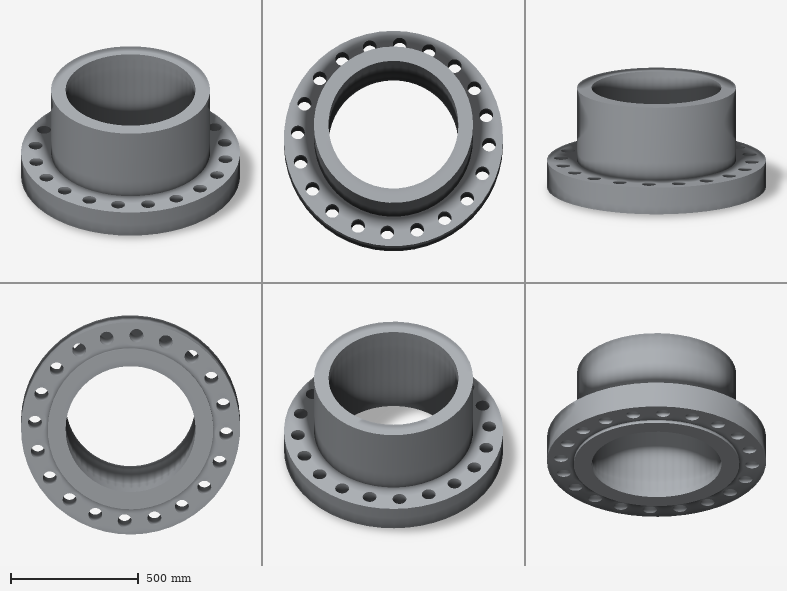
import cadquery as cq

flange_diameter = 857.25
flange_thickness = 107.95
raised_face_diameter = 647.7
raised_face_height = 12.7
neck_diameter = 622.3
bore_diameter = 508.0
total_height = 412.75

bolt_hole_count = 20
bolt_hole_diameter = 53.975
bolt_circle_diameter = 749.3

flange_bottom = raised_face_height
flange_top = flange_bottom + flange_thickness


def disc(diameter, bottom, top):
    """Solid cylinder on the Z axis between two levels."""
    return cq.Workplane("XY").workplane(offset=bottom).circle(diameter / 2).extrude(top - bottom)


def flange_body():
    """Flange ring with the raised face below it and the long neck above it."""
    raised_face = disc(raised_face_diameter, 0, flange_bottom)
    flange = disc(flange_diameter, flange_bottom, flange_top)
    neck = disc(neck_diameter, flange_top, total_height)
    return raised_face.union(flange).union(neck)


def bolt_holes():
    """Evenly spaced through holes on the bolt circle, the first one on +X."""
    return (
        cq.Workplane("XY")
        .workplane(offset=flange_bottom)
        .polarArray(bolt_circle_diameter / 2, 0, 360, bolt_hole_count)
        .circle(bolt_hole_diameter / 2)
        .extrude(flange_thickness)
    )


bore = disc(bore_diameter, 0, total_height)

result = flange_body().cut(bore).cut(bolt_holes())